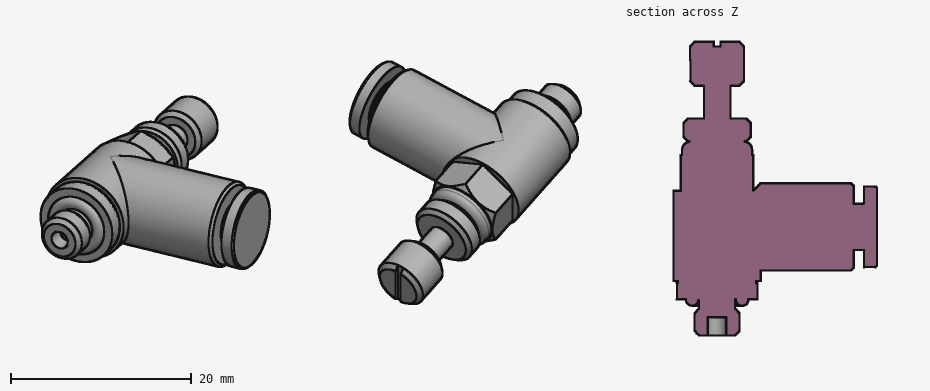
import cadquery as cq
import math


tip_radius = 2.5
tip_chamfer = 0.52
tip_shoulder_y = 2.47
tip_neck_radius = 2.0
tip_neck_y = 3.0
socket_radius = 1.0
socket_depth = 2.0

seal_y = 3.28
seal_radius = 3.48
flange_y = 4.0
flange_radius = 4.5
groove_y = 5.82
groove_radius = 4.35

body_radius = 4.85
body_bottom_y = 6.0
body_top_y = 16.02

hex_flats = 8.05
hex_top_y = 20.0
hex_top_radius = 4.0

ring_radius = 3.9
ring_widest_y = 20.5

collar_bottom_y = 21.48
collar_top_y = 24.02
collar_radius = 3.75
collar_chamfer = 0.5

stem_radius = 1.5
knob_bottom_y = 27.62
knob_top_y = 32.5
knob_radius = 3.0
knob_chamfer = 0.52
slot_width = 0.7
slot_depth = knob_chamfer

branch_y = 12.02
branch_end_x = 15.15
branch_chamfer = 0.32
release_neck_radius = 2.57
release_neck_flare = 0.1
release_start_x = 16.25
release_end_x = 17.7
release_radius = 4.5
release_chamfer = 0.2


def cylinder_y(radius, bottom, top):
    """Cylinder on the main axis from Y = bottom to Y = top."""
    return cq.Workplane("XZ", origin=(0, bottom, 0)).circle(radius).extrude(bottom - top)


def cylinder_x(radius, start, end):
    """Cylinder on the branch axis from X = start to X = end."""
    return cq.Workplane("YZ", origin=(start, branch_y, 0)).circle(radius).extrude(end - start)


def revolve_y(profile):
    """Turn a closed (radius, Y) profile around the main axis."""
    return profile.close().revolve(360, (0, 0, 0), (0, 1, 0))


def make_tip():
    profile = (
        cq.Workplane("XY")
        .moveTo(0, 0)
        .lineTo(tip_radius - tip_chamfer, 0)
        .lineTo(tip_radius, tip_chamfer)
        .lineTo(tip_radius, tip_shoulder_y)
        .lineTo(tip_neck_radius, tip_neck_y)
        .lineTo(tip_neck_radius, flange_y)
        .lineTo(0, flange_y)
    )
    socket = cylinder_y(socket_radius, 0, socket_depth)
    return revolve_y(profile).cut(socket)


def make_seal():
    tube_radius = flange_y - seal_y
    profile = cq.Workplane("XY").center(seal_radius - tube_radius, flange_y).circle(tube_radius)
    axis_x = tube_radius - seal_radius
    return profile.revolve(360, (axis_x, 0, 0), (axis_x, 1, 0))


def make_body():
    flange = cylinder_y(flange_radius, flange_y, groove_y)
    groove = cylinder_y(groove_radius, groove_y, body_bottom_y)
    body = cylinder_y(body_radius, body_bottom_y, body_top_y)
    return flange.union(groove).union(body)


def make_hexagon():
    corner_radius = hex_flats / math.sqrt(3)
    bevel_drop = corner_radius - hex_top_radius
    prism = (
        cq.Workplane("XZ", origin=(0, body_top_y, 0))
        .transformed(rotate=(0, 0, 90))
        .polygon(6, 2 * corner_radius)
        .extrude(body_top_y - hex_top_y)
    )
    bevel_profile = (
        cq.Workplane("XY")
        .moveTo(0, body_top_y)
        .lineTo(corner_radius, body_top_y)
        .lineTo(corner_radius, hex_top_y - bevel_drop)
        .lineTo(hex_top_radius, hex_top_y)
        .lineTo(0, hex_top_y)
    )
    return prism.intersect(revolve_y(bevel_profile))


def make_ring():
    ring_round = collar_bottom_y - ring_widest_y
    ring = cylinder_y(ring_radius, hex_top_y, collar_bottom_y)
    return ring.faces(">Y").edges().fillet(ring_round)


def make_collar():
    return cylinder_y(collar_radius, collar_bottom_y, collar_top_y).edges().chamfer(collar_chamfer)


def make_stem_and_knob():
    stem = cylinder_y(stem_radius, collar_top_y, knob_bottom_y)
    knob = cylinder_y(knob_radius, knob_bottom_y, knob_top_y).edges().chamfer(knob_chamfer)
    slot = cq.Workplane("XY").box(slot_width, 2 * slot_depth, 2 * knob_radius)
    return stem.union(knob.cut(slot.translate((0, knob_top_y, 0))))


def make_branch():
    barrel = cylinder_x(body_radius, 0, branch_end_x).faces(">X").edges().chamfer(branch_chamfer)
    mitre = (
        cq.Workplane("XY", origin=(0, branch_y, 0))
        .lineTo(body_radius, body_radius)
        .lineTo(branch_end_x, body_radius)
        .lineTo(branch_end_x, -body_radius)
        .lineTo(body_radius, -body_radius)
        .close()
        .extrude(body_radius, both=True)
    )
    neck = cylinder_x(release_neck_radius, branch_end_x, release_start_x)
    flare = (
        cq.Workplane("YZ", origin=(release_start_x, branch_y, 0))
        .circle(release_neck_radius + release_neck_flare)
        .extrude(-release_neck_flare, taper=45)
    )
    collar = cylinder_x(release_radius, release_start_x, release_end_x)
    collar = collar.faces(">X").edges().chamfer(release_chamfer)
    return barrel.intersect(mitre).union(neck).union(flare).union(collar)


result = make_body()
for section in (
    make_tip(),
    make_seal(),
    make_hexagon(),
    make_ring(),
    make_collar(),
    make_stem_and_knob(),
    make_branch(),
):
    result = result.union(section)